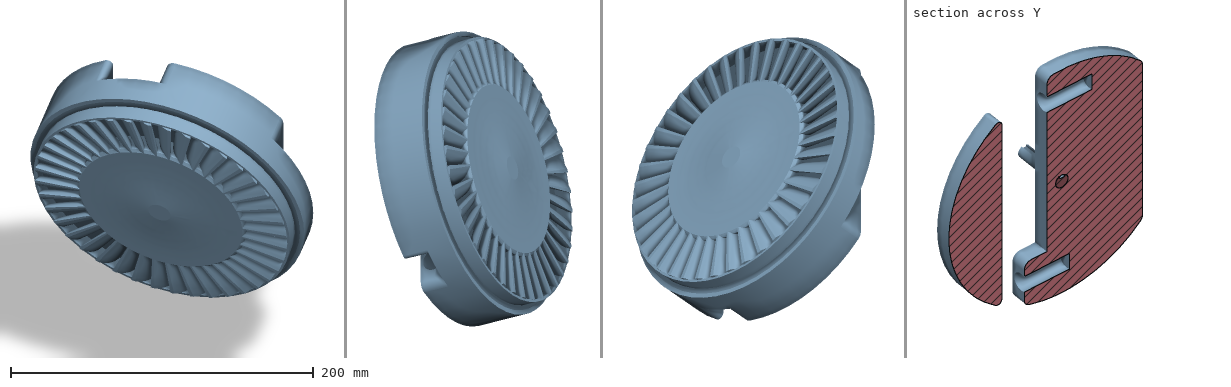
import cadquery as cq


housing_radius = 95.9
housing_depth = 35.9
floor_depth = 17.8
recess_radius = 92.8
recess_depth = 1.2
boss_left = -12.8
boss_right = 68.5
foot_left = -32.0
foot_top = -53.7
boss_corner_radius = 6.3
rib_inner_x = -50.6
rib_corner_radius = 3.5
port_radius = 7.0
port_offset = 72.1
port_depth = 38.4

shaft_radius = 5.0
shaft_rear = 63.7
key_width = 3.6
key_bottom = 3.0
key_top = 6.1

nose_front = -15.7
nose_radius = 7.9
dome_radius = 55.6
dome_middle_radius = 27.8
dome_middle = -13.6
hub_front_radius = 57.0
hub_radius = 59.0
hub_bevel_depth = 1.5
blade_front = -12.8
blade_rear = 0.0
shroud_outer_radius = 89.7
shroud_inner_radius = 87.8
shroud_front = -11.1
shroud_rear = -1.2

blade_count = 40
blade_pitch = 360 / blade_count
blade_root_radius = 55.6
blade_tip_radius = 88.0
root_edge_place = 5.0
tip_edge_place = 4.5
root_edge_width = 1.2
tip_edge_width = 2.7
root_sweep = 9.2
tip_sweep = 12.3
rear_edge_width = 1.5
blade_bow = 1.7


def disc(radius, start, end):
    """Cylinder about the Y axis, from Y = start to Y = end."""
    return cq.Workplane("XZ", origin=(0, start, 0)).circle(radius).extrude(start - end)


def block(left, right, bottom, top, start, end):
    """Box given by its limits along X, Z and Y."""
    return cq.Workplane("XY").box(right - left, end - start, top - bottom, centered=False).translate(
        (left, start, bottom)
    )


def rear_boss():
    """Bearing block with a foot, trimmed to the round outline and rounded at its corners."""
    rear = disc(housing_radius, floor_depth, housing_depth)
    bearing = block(boss_left, boss_right, -housing_radius, housing_radius, floor_depth, housing_depth)
    foot = block(foot_left, 0, -housing_radius, foot_top, floor_depth, housing_depth)
    middle = cq.Vector(boss_left, (floor_depth + housing_depth) / 2, foot_top)
    inner_corner = cq.selectors.NearestToPointSelector(middle)
    along_axis = cq.selectors.ParallelDirSelector(cq.Vector(0, 1, 0))
    corners = cq.selectors.SubtractSelector(along_axis, inner_corner)
    return bearing.union(foot).intersect(rear).edges(corners).fillet(boss_corner_radius)


def rear_rib():
    """Segment along the left side of the housing."""
    rear = disc(housing_radius, floor_depth, housing_depth)
    side = block(-housing_radius, rib_inner_x, -housing_radius, housing_radius, floor_depth, housing_depth)
    return rear.intersect(side).edges("|Y").fillet(rib_corner_radius)


def port(face_x, height):
    """Blind hole along X that starts at an end face of the boss."""
    port_y = (floor_depth + housing_depth) / 2
    start = cq.Workplane("YZ", origin=(face_x, port_y, height))
    return start.circle(port_radius).extrude(port_depth)


def make_housing():
    body = disc(housing_radius, 0, floor_depth).union(rear_boss()).union(rear_rib())
    body = body.cut(disc(recess_radius, 0, recess_depth))
    body = body.cut(port(boss_left, port_offset)).cut(port(foot_left, -port_offset))
    return body.cut(disc(shaft_radius, 0, housing_depth))


def make_key():
    return block(-key_width / 2, key_width / 2, key_bottom, key_top, nose_front, blade_rear)


def make_shaft():
    """Round shaft with a keyway along its whole length."""
    keyway = block(-key_width / 2, key_width / 2, key_bottom, key_top, nose_front, shaft_rear)
    return disc(shaft_radius, nose_front, shaft_rear).cut(keyway)


def blade_section(sheet, edge_place, edge_width, sweep):
    """Blade outline: flat ends, swept counterclockwise towards the rear, with both faces bulging out."""
    front_left = edge_place
    front_right = edge_place + edge_width
    rear_left = front_left - sweep
    rear_right = rear_left + rear_edge_width
    middle_y = (blade_front + blade_rear) / 2
    left_middle = (front_left + rear_left) / 2
    right_middle = (front_right + rear_right) / 2
    return (
        sheet.moveTo(front_left, blade_front)
        .lineTo(front_right, blade_front)
        .threePointArc((right_middle + blade_bow, middle_y + blade_bow), (rear_right, blade_rear))
        .lineTo(rear_left, blade_rear)
        .threePointArc((left_middle - blade_bow, middle_y - blade_bow), (front_left, blade_front))
        .close()
    )


def make_blade():
    root = cq.Workplane("XY", origin=(0, 0, blade_root_radius))
    root = blade_section(root, root_edge_place, root_edge_width, root_sweep)
    tip = root.workplane(offset=blade_tip_radius - blade_root_radius)
    return blade_section(tip, tip_edge_place, tip_edge_width, tip_sweep).loft(ruled=True, combine=True)


def make_hub():
    """Solid of revolution: flat nose, dished dome, narrow rim and a bevel down to the blade floor."""
    return (
        cq.Workplane("XY")
        .moveTo(0, blade_rear)
        .lineTo(0, nose_front)
        .lineTo(nose_radius, nose_front)
        .threePointArc((dome_middle_radius, dome_middle), (dome_radius, blade_front))
        .lineTo(hub_front_radius, blade_front)
        .lineTo(hub_radius, blade_front + hub_bevel_depth)
        .lineTo(hub_radius, blade_rear)
        .close()
        .revolve(360, (0, 0, 0), (0, 1, 0))
    )


def make_shroud():
    shroud = disc(shroud_outer_radius, shroud_front, shroud_rear)
    return shroud.cut(disc(shroud_inner_radius, shroud_front, shroud_rear))


def make_rotor():
    """Hub, blades and shroud in one piece, bored for the shaft and key."""
    blade = make_blade().val()
    axis_end = cq.Vector(0, 1, 0)
    blades = [blade.rotate(cq.Vector(), axis_end, i * blade_pitch) for i in range(blade_count)]
    rotor = cq.Workplane(make_hub().val().fuse(make_shroud().val(), *blades))
    return rotor.cut(disc(shaft_radius, nose_front, blade_rear)).cut(make_key())


housing = make_housing()
rotor = make_rotor()
shaft = make_shaft()
key = make_key()

result = cq.Compound.makeCompound([housing.val(), rotor.val(), shaft.val(), key.val()])